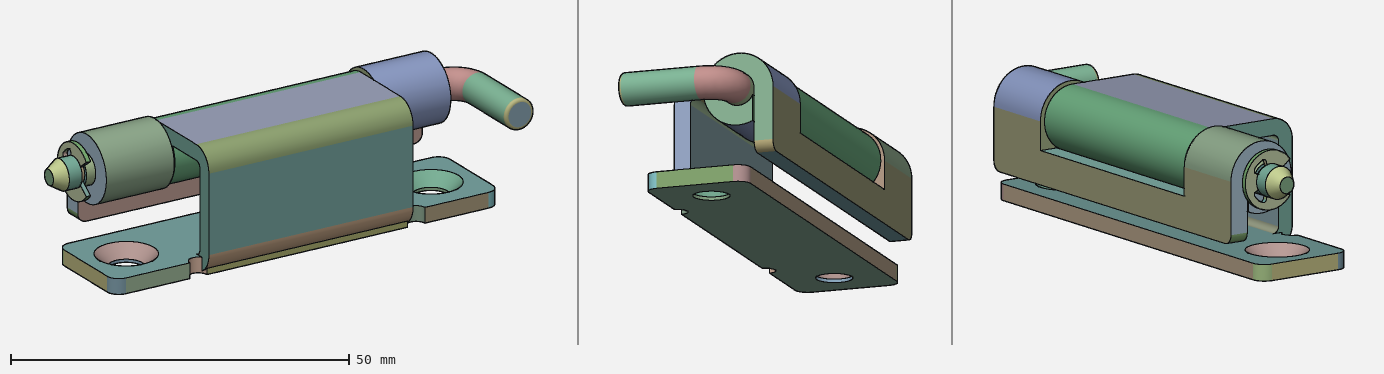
import cadquery as cq
import math


pin_diameter = 5.0
pin_radius = pin_diameter / 2
pin_back_y = 37.9
pin_front_y = -36.6
pin_bend_radius = 4.0
handle_end_x = 16.1
handle_end_fillet = 0.5
tip_length = 2.0
tip_radius = 1.3

clip_radius = 4.55
clip_thickness = 0.75
clip_front_y = -32.3
groove_radius = 2.0
mouth_half_angle = 37
relief_radius = 3.5
relief_angle = 128
relief_half_angle = 24
relief_corner_radius = 0.45

flange_length = 60.0
flange_thickness = 3.0
flange_bottom_z = -9.6
flange_corner_radius = 1.5
window_length = 36.35
window_bottom_z = -4.4
roll_gap = 0.2
flange_knuckle_radius = pin_radius + flange_thickness

leaf_length = 35.5
leaf_thickness = 2.5
bend_inner_radius = 1.0
wall_outer_x = 14.5
base_bottom_z = -15.0
base_length = 67.1
base_left_x = -2.5
base_right_x = 13.5
base_corner_radius = 2.0
screw_spacing = 53.05
screw_hole_radius = 2.75
countersink_radius = 4.8
notch_radius = 1.5
notch_offset = 1.2
leaf_knuckle_radius = pin_radius + leaf_thickness
bend_outer_radius = bend_inner_radius + leaf_thickness
wall_inner_x = wall_outer_x - leaf_thickness
base_top_z = base_bottom_z + leaf_thickness


def box(x_min, x_max, y_min, y_max, z_min, z_max):
    """Axis-aligned block between the given limits."""
    block = cq.Workplane().box(x_max - x_min, y_max - y_min, z_max - z_min, centered=False)
    return block.translate((x_min, y_min, z_min))


def rod(radius, y_min, y_max):
    """Cylinder on the pin axis."""
    return cq.Workplane("XZ", origin=(0, y_max, 0)).circle(radius).extrude(y_max - y_min)


def polar(radius, angle):
    """Point in the XZ plane at an angle in degrees from +X."""
    return (radius * math.cos(math.radians(angle)), radius * math.sin(math.radians(angle)))


def make_flange():
    half_length = flange_length / 2
    half_window = window_length / 2
    reach = flange_knuckle_radius
    flange = box(-reach, -pin_radius, -half_length, half_length, flange_bottom_z, 0)
    flange = flange.edges("|X and <Z").fillet(flange_corner_radius)
    flange = flange.cut(box(-reach, -pin_radius, -half_window, half_window, window_bottom_z, 0))
    for y_min, y_max in [(-half_length, -half_window), (half_window, half_length)]:
        flange = flange.union(rod(flange_knuckle_radius, y_min, y_max))
    gap = box(-pin_radius, -pin_radius + roll_gap, -half_length, half_length, -reach, 0)
    bore = rod(pin_radius, -half_length, half_length)
    return flange.cut(gap).cut(bore)


def make_channel():
    half_length = leaf_length / 2
    outer = box(0, wall_outer_x, -half_length, half_length, base_bottom_z, leaf_knuckle_radius)
    outer = outer.edges("|Y and >X").fillet(bend_outer_radius)
    inner = box(0, wall_inner_x, -half_length, half_length, base_top_z, pin_radius)
    inner = inner.edges("|Y and >X").fillet(bend_inner_radius)
    return outer.cut(inner)


def make_screw_plate():
    half_length = base_length / 2
    plate = box(base_left_x, base_right_x, -half_length, half_length, base_bottom_z, base_top_z)
    plate = plate.edges("|Z").fillet(base_corner_radius)
    middle_x = (base_left_x + base_right_x) / 2
    screws = [(middle_x, -screw_spacing / 2), (middle_x, screw_spacing / 2)]
    plate = plate.cut(
        cq.Workplane("XY", origin=(0, 0, base_top_z))
        .pushPoints(screws)
        .circle(screw_hole_radius)
        .extrude(-leaf_thickness)
    )
    sink_depth = countersink_radius - screw_hole_radius
    for x, y in screws:
        sink = cq.Solid.makeCone(
            screw_hole_radius, countersink_radius, sink_depth, pnt=cq.Vector(x, y, base_top_z - sink_depth)
        )
        plate = plate.cut(cq.Workplane(sink))
    notch_y = leaf_length / 2 + notch_offset
    notches = (
        cq.Workplane("XY", origin=(0, 0, base_bottom_z))
        .pushPoints([(base_right_x, -notch_y), (base_right_x, notch_y)])
        .circle(notch_radius)
        .extrude(leaf_thickness)
    )
    return plate.cut(notches)


def make_mounting_leaf():
    half_length = leaf_length / 2
    knuckle = rod(leaf_knuckle_radius, -half_length, half_length)
    leaf = make_screw_plate().union(make_channel()).union(knuckle)
    return leaf.cut(rod(pin_radius, -half_length, half_length))


def make_pin():
    handle_y = pin_back_y - pin_radius
    bend_start_y = handle_y - pin_bend_radius
    bend_middle = pin_bend_radius * (1 - math.sqrt(0.5))
    path = (
        cq.Workplane("XY")
        .moveTo(0, pin_front_y)
        .lineTo(0, bend_start_y)
        .threePointArc((bend_middle, handle_y - bend_middle), (pin_bend_radius, handle_y))
        .lineTo(handle_end_x, handle_y)
    )
    pin = cq.Workplane("XZ", origin=(0, pin_front_y, 0)).circle(pin_radius).sweep(path)
    pin = pin.faces(">X").edges().fillet(handle_end_fillet)
    pin = pin.faces("<Y").edges().chamfer(tip_length, pin_radius - tip_radius)
    clip_back_y = clip_front_y + clip_thickness
    groove = rod(pin_radius, clip_front_y, clip_back_y).cut(rod(groove_radius, clip_front_y, clip_back_y))
    return pin.cut(groove)


def make_clip():
    """Open ring seated in the pin groove, with a mouth toward +X and two relief slots."""
    clip_back_y = clip_front_y + clip_thickness
    plane = cq.Workplane("XZ", origin=(0, clip_back_y, 0))
    clip = rod(clip_radius, clip_front_y, clip_back_y).cut(rod(groove_radius, clip_front_y, clip_back_y))
    mouth_far = clip_radius / math.cos(math.radians(mouth_half_angle))
    mouth = (
        plane.polyline([(0, 0), polar(mouth_far, -mouth_half_angle), polar(mouth_far, mouth_half_angle)])
        .close()
        .extrude(clip_thickness)
    )
    clip = clip.cut(mouth)
    for side in (-1, 1):
        relief = (
            plane.lineTo(*polar(relief_radius, side * (relief_angle - relief_half_angle)))
            .threePointArc(
                polar(relief_radius, side * relief_angle),
                polar(relief_radius, side * (relief_angle + relief_half_angle)),
            )
            .close()
            .extrude(clip_thickness)
        )
        relief = relief.edges("|Y and (not >X)").fillet(relief_corner_radius)
        clip = clip.cut(relief)
    return clip


flange = make_flange()
mounting_leaf = make_mounting_leaf()
pin = make_pin()
clip = make_clip()

result = cq.Compound.makeCompound([flange.val(), mounting_leaf.val(), pin.val(), clip.val()])